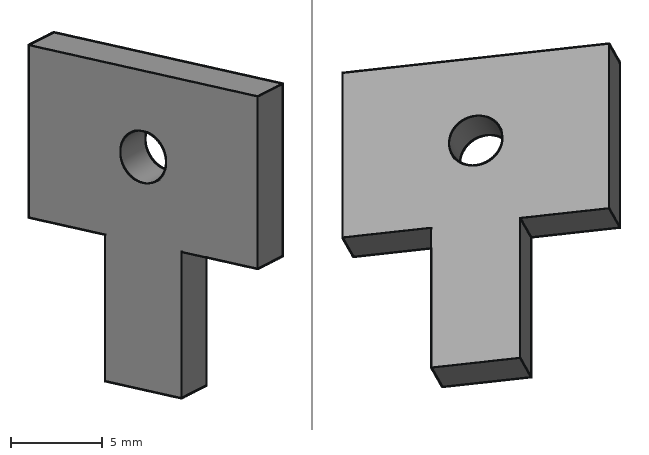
import cadquery as cq

total_height = 18.5
thickness = 2.5

head_width = 15.0
head_height = 10.0
stem_width = head_width / 3
stem_height = total_height - head_height

hole_diameter = 3.0


def block(width, height, bottom):
    """Plate centred on X and Y, with its lower face at the given Z."""
    return (
        cq.Workplane("XY")
        .box(width, thickness, height, centered=(True, True, False))
        .translate((0, 0, bottom))
    )


stem = block(stem_width, stem_height, 0)
head = block(head_width, head_height, stem_height)

hole = (
    cq.Workplane("XZ")
    .center(0, stem_height + head_height / 2)
    .cylinder(thickness, hole_diameter / 2)
)

result = head.union(stem).cut(hole)